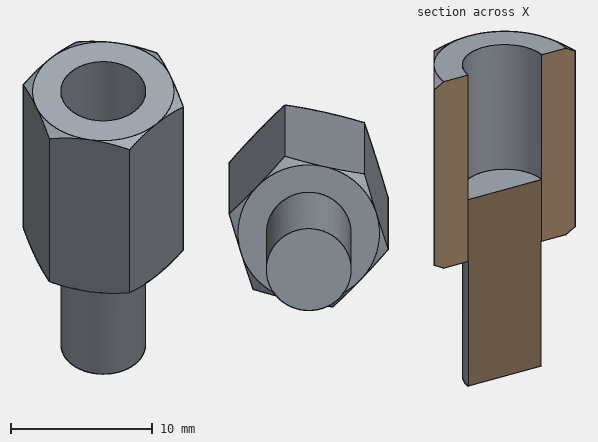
import cadquery as cq
import math

across_flats = 10.0
sleeve_length = 15.0
bore_diameter = 6.0
chamfer_angle = 30.0

stud_diameter = bore_diameter
stud_projection = 10.0
stud_insertion = 5.0

across_corners = across_flats / math.cos(math.radians(30))
corner_overhang = (across_corners - across_flats) / 2
chamfer_height = corner_overhang * math.tan(math.radians(chamfer_angle))


def make_chamfer_envelope():
    """Turned blank whose conical ends trim the corners of the hexagon."""
    face_radius = across_flats / 2
    corner_radius = across_corners / 2
    return (
        cq.Workplane("XZ")
        .moveTo(0, 0)
        .lineTo(face_radius, 0)
        .lineTo(corner_radius, chamfer_height)
        .lineTo(corner_radius, sleeve_length - chamfer_height)
        .lineTo(face_radius, sleeve_length)
        .lineTo(0, sleeve_length)
        .close()
        .revolve(360, (0, 0, 0), (0, 1, 0))
    )


def make_hex_sleeve():
    """Hexagon with corners on the Y axis, chamfered ends and a through bore."""
    hexagon = (
        cq.Workplane("XY")
        .transformed(rotate=(0, 0, 90))
        .polygon(6, across_corners)
        .extrude(sleeve_length)
    )
    bore = cq.Workplane("XY").circle(bore_diameter / 2).extrude(sleeve_length)
    return hexagon.intersect(make_chamfer_envelope()).cut(bore)


def make_stud():
    """Plain cylinder that fills the lower bore and projects below the sleeve."""
    return (
        cq.Workplane("XY", origin=(0, 0, -stud_projection))
        .circle(stud_diameter / 2)
        .extrude(stud_projection + stud_insertion)
    )


hex_sleeve = make_hex_sleeve()
stud = make_stud()

result = cq.Compound.makeCompound([hex_sleeve.val(), stud.val()])